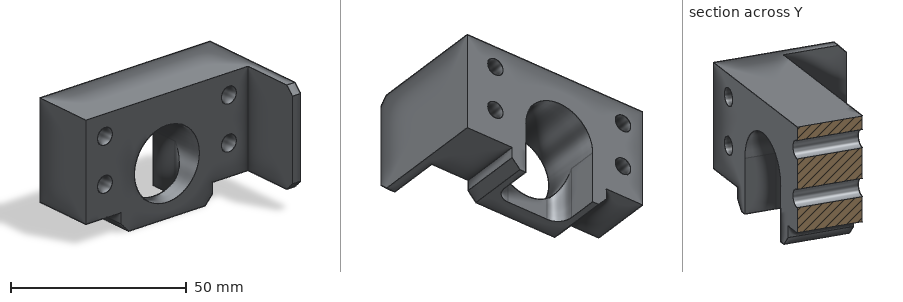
import cadquery as cq

length = 63.0
total_width = 40.5
total_height = 39.0
block_depth = 20.6
block_height = 32.45

flange_thickness = 3.0
flange_chamfer = 2.6

bore_diameter = 24.0
bore_y = -33.0
bore_z = -21.9

tab_width = 33.8
tab_chamfer_width = 2.8
tab_chamfer_height = 3.0

pocket_depth = 14.8
pocket_corner_radius = 5.0

bolt_diameter = 5.5
bolt_spacing_y = 45.85
upper_bolt_z = -7.0


def make_block():
    return cq.Workplane("XY").box(block_depth, length, block_height, centered=False).translate(
        (0, -length, -block_height)
    )


def make_flange():
    flange = cq.Workplane("XY").box(total_width, flange_thickness, block_height, centered=False)
    flange = flange.edges("|Y and >X").chamfer(flange_chamfer)
    return flange.translate((0, -flange_thickness, -block_height))


def make_tab():
    half_width = tab_width / 2
    half_foot = half_width - tab_chamfer_width
    outline = [
        (bore_y - half_width, bore_z),
        (bore_y + half_width, bore_z),
        (bore_y + half_width, -total_height + tab_chamfer_height),
        (bore_y + half_foot, -total_height),
        (bore_y - half_foot, -total_height),
        (bore_y - half_width, -total_height + tab_chamfer_height),
    ]
    return cq.Workplane("YZ").polyline(outline).close().extrude(block_depth)


def make_pocket():
    pocket_height = total_height + bore_z
    pocket = cq.Workplane("XY").box(pocket_depth, bore_diameter, pocket_height, centered=False)
    pocket = pocket.edges("|Z and >X").fillet(pocket_corner_radius)
    return pocket.translate((0, bore_y - bore_diameter / 2, -total_height))


def make_through_hole(diameter, y, z):
    return cq.Workplane("YZ").center(y, z).circle(diameter / 2).extrude(block_depth)


result = make_block().union(make_flange()).union(make_tab())
result = result.cut(make_pocket()).cut(make_through_hole(bore_diameter, bore_y, bore_z))

for side in (-1, 1):
    for bolt_z in (upper_bolt_z, bore_z):
        bolt_y = bore_y + side * bolt_spacing_y / 2
        result = result.cut(make_through_hole(bolt_diameter, bolt_y, bolt_z))